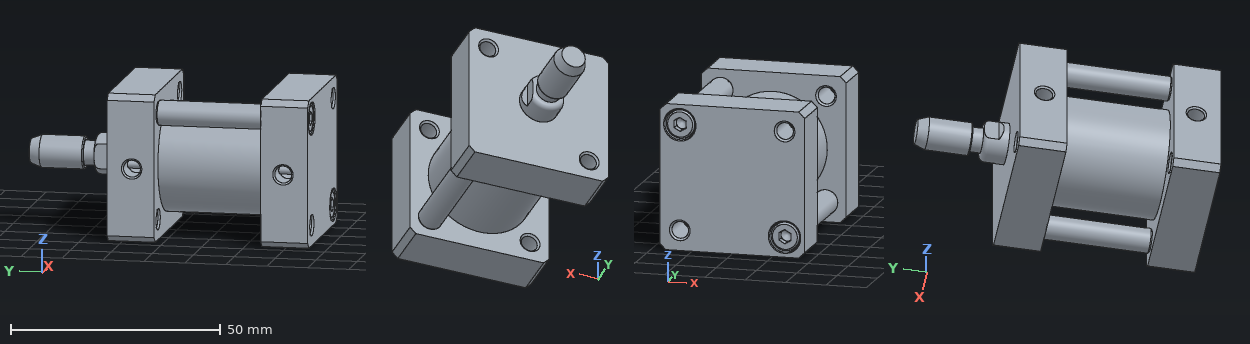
import cadquery as cq
import math


total_length = 71.0
cap_length = 11.5
rod_extension = 22.0
barrel_length = total_length - rod_extension - 2 * cap_length
front_cap_start = cap_length + barrel_length
front_face = front_cap_start + cap_length

cap_width = 36.0
cap_corner_chamfer = 1.5
corner_offset = 13.0
mounting_hole_diameter = 4.1
mounting_hole_mouth = 5.1
port_diameter = 4.1
port_mouth = 5.0
port_from_outer_face = 6.0
port_depth = 6.0
port_cone_angle = 120.0
port_bar_diameter = 2.0

barrel_diameter = 26.6

tie_diameter = 6.0
tie_end_chamfer = 0.35
shank_diameter = 4.1
shank_engagement = 6.0
head_diameter = 7.0
head_length = 4.0
head_recess = 0.3
head_edge_chamfer = 0.4
counterbore_diameter = 7.5
counterbore_mouth = 8.0
socket_sides = 6
socket_flats = 3.0
socket_depth = 2.0
socket_cone_angle = 120.0

rod_diameter = 10.0
rod_length_outside = 6.0
rod_edge_radius = 1.3
wrench_flats = 7.95
wrench_flat_length = 3.6
neck_diameter = 6.0
neck_length = 2.7
neck_end_diameter = 6.25
neck_flare_length = 0.4
thread_diameter = 8.0
thread_end_chamfer = 0.3
tip_diameter = 6.0
tip_length = 2.6

tie_corners = [(-corner_offset, corner_offset), (corner_offset, -corner_offset)]
free_corners = [(corner_offset, corner_offset), (-corner_offset, -corner_offset)]


def cylinder(diameter, start, end, x=0.0, z=0.0):
    """Cylinder along Y from start to end."""
    return cq.Workplane(cq.Solid.makeCylinder(
        diameter / 2, end - start, cq.Vector(x, start, z), cq.Vector(0, 1, 0)))


def cone(base, direction, base_diameter, end_diameter, length):
    """Truncated or pointed cone that starts at a base point and narrows along a direction."""
    return cq.Workplane(cq.Solid.makeCone(
        base_diameter / 2, end_diameter / 2, length, cq.Vector(*base), cq.Vector(*direction)))


def mouth_chamfer(base, direction, mouth_diameter, hole_diameter):
    """45 degree cutter for the chamfer at the mouth of a hole."""
    depth = (mouth_diameter - hole_diameter) / 2
    return cone(base, direction, mouth_diameter, hole_diameter, depth)


def drill_point_length(diameter, point_angle):
    """Height of the cone that a drill of this diameter and point angle leaves."""
    return diameter / 2 / math.tan(math.radians(point_angle / 2))


def port_cutter(port_y):
    """Blind side port from the -X face with a drill point and a round bar along Y left across it."""
    face_x = -cap_width / 2
    inward = (1, 0, 0)
    bore = cq.Workplane(cq.Solid.makeCylinder(
        port_diameter / 2, port_depth, cq.Vector(face_x, port_y, 0), cq.Vector(*inward)))
    point_length = drill_point_length(port_diameter, port_cone_angle)
    point = cone((face_x + port_depth, port_y, 0), inward, port_diameter, 0, point_length)
    mouth = mouth_chamfer((face_x, port_y, 0), inward, port_mouth, port_diameter)
    bar = cylinder(
        port_bar_diameter, port_y - port_diameter / 2, port_y + port_diameter / 2, face_x + port_depth)
    return bore.union(point).union(mouth).cut(bar)


def cap_block(start, port_y):
    """Square cap with chamfered corners, two free mounting holes and a side port."""
    end = start + cap_length
    block = (
        cq.Workplane("XY").box(cap_width, cap_length, cap_width)
        .edges("|Y").chamfer(cap_corner_chamfer)
        .translate((0, start + cap_length / 2, 0))
    )
    for x, z in free_corners:
        block = block.cut(cylinder(mounting_hole_diameter, start, end, x, z))
        for y, inward in ((start, 1), (end, -1)):
            block = block.cut(mouth_chamfer(
                (x, y, z), (0, inward, 0), mounting_hole_mouth, mounting_hole_diameter))
    return block.cut(port_cutter(port_y))


def make_rear_cap():
    """Cap with counterbored through holes for the tie bolts."""
    cap = cap_block(0.0, port_from_outer_face)
    for x, z in tie_corners:
        cap = cap.cut(cylinder(shank_diameter, 0, cap_length, x, z))
        cap = cap.cut(cylinder(counterbore_diameter, 0, head_recess + head_length, x, z))
        cap = cap.cut(mouth_chamfer(
            (x, 0, z), (0, 1, 0), counterbore_mouth, counterbore_diameter))
    return cap


def make_front_cap():
    """Cap with blind holes for the tie bolt ends and a through hole for the piston rod."""
    cap = cap_block(front_cap_start, front_face - port_from_outer_face)
    for x, z in tie_corners:
        cap = cap.cut(cylinder(
            shank_diameter, front_cap_start, front_cap_start + shank_engagement, x, z))
    return cap.cut(cylinder(rod_diameter, front_cap_start, front_face))


def make_barrel():
    """Round barrel held between the two caps."""
    return cylinder(barrel_diameter, cap_length, front_cap_start)


def make_tie_bolt(x, z):
    """Bolt with a socket head in the rear cap, a spacer between the caps and an end in the front cap."""
    head_end = head_recess + head_length
    head = cylinder(head_diameter, head_recess, head_end).faces("<Y").chamfer(head_edge_chamfer)
    spacer = (
        cylinder(tie_diameter, cap_length, front_cap_start)
        .faces("<Y or >Y").chamfer(tie_end_chamfer)
    )
    shank = cylinder(shank_diameter, head_end, front_cap_start + shank_engagement)
    half_sector = math.pi / socket_sides
    socket_corners = socket_flats / math.cos(half_sector)
    socket_floor = head_recess + socket_depth
    socket = (
        cq.Workplane("XZ", origin=(0, head_recess, 0))
        .polygon(socket_sides, socket_corners).extrude(-socket_depth)
        .rotate((0, 0, 0), (0, 1, 0), math.degrees(half_sector))
    )
    point = cone((0, socket_floor, 0), (0, 1, 0), socket_flats, 0,
                 drill_point_length(socket_flats, socket_cone_angle))
    bolt = head.union(shank).union(spacer).cut(socket).cut(point)
    return bolt.translate((x, 0, z))


def make_piston_rod():
    """Stepped rod: body with wrench flats, flared neck, threaded section and tapered tip."""
    shoulder = front_face + rod_length_outside
    neck_end = shoulder + neck_length
    thread_end = total_length - tip_length

    main = cylinder(rod_diameter, front_cap_start, shoulder).faces(">Y").fillet(rod_edge_radius)
    neck = cylinder(neck_diameter, shoulder, neck_end)
    for y, inward in ((shoulder, 1), (neck_end, -1)):
        neck = neck.union(cone(
            (0, y, 0), (0, inward, 0), neck_end_diameter, neck_diameter, neck_flare_length))
    thread = cylinder(thread_diameter, neck_end, thread_end).faces("<Y").chamfer(thread_end_chamfer)
    tip = cone((0, thread_end, 0), (0, 1, 0), thread_diameter, tip_diameter, tip_length)

    flat_step = (rod_diameter - wrench_flats) / 2
    flat_end = shoulder - wrench_flat_length
    for side in (-1, 1):
        flat_cut = (
            cq.Workplane("XY")
            .moveTo(side * wrench_flats / 2, shoulder)
            .lineTo(side * wrench_flats / 2, flat_end)
            .lineTo(side * (wrench_flats / 2 + flat_step), flat_end - flat_step)
            .lineTo(side * (wrench_flats / 2 + flat_step), shoulder)
            .close()
            .extrude(rod_diameter / 2, both=True)
        )
        main = main.cut(flat_cut)
    return main.union(neck).union(thread).union(tip)


rear_cap = make_rear_cap()
front_cap = make_front_cap()
barrel = make_barrel()
piston_rod = make_piston_rod()
tie_bolts = [make_tie_bolt(x, z) for x, z in tie_corners]

result = cq.Compound.makeCompound([
    rear_cap.val(),
    front_cap.val(),
    barrel.val(),
    piston_rod.val(),
    *[bolt.val() for bolt in tie_bolts],
])